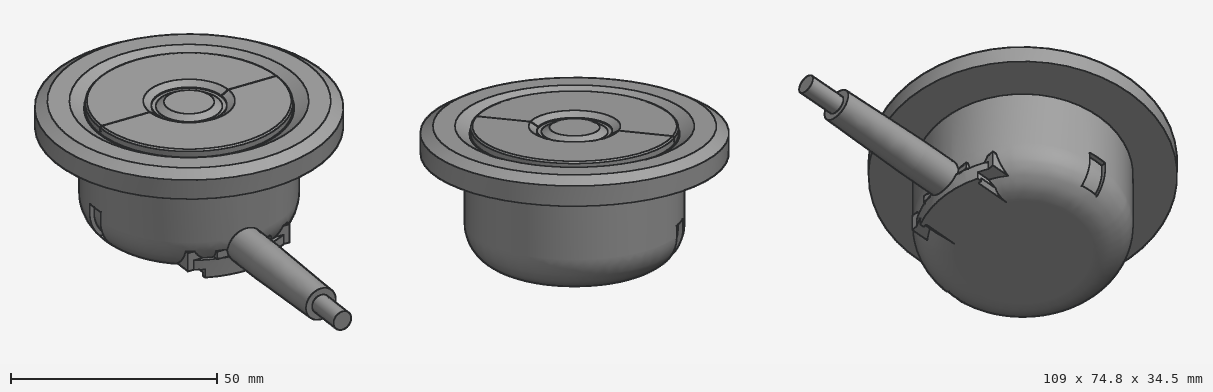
import cadquery as cq
import math

total_length = 109.0
total_height = 34.5

flange_radius = 37.4
flange_thickness = 7.0
flange_bevel_width = 3.0
flange_bevel_height = 1.7
flange_bottom = total_height - flange_thickness

body_radius = 26.7
body_corner_radius = 9.8
body_floor_radius = body_radius - body_corner_radius

bevel_slope = math.tan(math.radians(30))
recess_top_radius = 29.0
recess_floor_radius = 25.5
recess_depth = (recess_top_radius - recess_floor_radius) * bevel_slope
disc_radius = 25.2
disc_edge_chamfer = 0.4
disc_split_width = 0.2

dish_top_radius = 11.1
dish_bottom_radius = 9.2
dish_depth = (dish_top_radius - dish_bottom_radius) * bevel_slope
groove_depth = 1.4
button_base_radius = 8.1
button_top_radius = 6.1
button_height = (button_base_radius - button_top_radius) * bevel_slope

slot_width = 5.0
slot_bottom = 2.9
slot_top = 12.5
slot_depth = 1.2

housing_inner_x = 10.9
shoulder_end_x = 23.2
shoulder_half_width = 14.4
shoulder_top = 7.3
shoulder_bottom = 2.3
foot_half_width = 10.2
foot_chamfer = 1.0
lug_radius = 26.5
lug_height = 4.9
saddle_end_x = 25.7
saddle_half_width = 7.6

cable_axis_z = 7.0
sleeve_radius = 4.8
sleeve_tip_radius = 4.3
sleeve_taper_start = 36.6
sleeve_end = 61.6
cable_radius = 2.5
cable_end = total_length - flange_radius


def box_between(x_range, y_range, z_range):
    """Axis-aligned box given by its limits along X, Y and Z."""
    (x0, x1), (y0, y1), (z0, z1) = x_range, y_range, z_range
    return cq.Workplane("XY").box(x1 - x0, y1 - y0, z1 - z0, centered=False).translate((x0, y0, z0))


def cup(inset):
    """Cup with a rounded bottom corner, shrunk evenly by the inset."""
    corner_radius = body_corner_radius - inset
    diagonal = corner_radius * math.sqrt(0.5)
    return (
        cq.Workplane("XZ")
        .moveTo(0, inset)
        .lineTo(body_floor_radius, inset)
        .threePointArc(
            (body_floor_radius + diagonal, body_corner_radius - diagonal),
            (body_radius - inset, body_corner_radius),
        )
        .lineTo(body_radius - inset, flange_bottom)
        .lineTo(0, flange_bottom)
        .close()
        .revolve(360, (0, 0), (0, 1))
    )


def flange():
    """Flange with its bevelled rim, recess, disc, dish and button."""
    profile = [
        (0, flange_bottom),
        (flange_radius, flange_bottom),
        (flange_radius, total_height - flange_bevel_height),
        (flange_radius - flange_bevel_width, total_height),
        (recess_top_radius, total_height),
        (recess_floor_radius, total_height - recess_depth),
        (disc_radius, total_height - recess_depth),
        (disc_radius, total_height - disc_edge_chamfer),
        (disc_radius - disc_edge_chamfer, total_height),
        (dish_top_radius, total_height),
        (dish_bottom_radius, total_height - dish_depth),
        (dish_bottom_radius, total_height - groove_depth),
        (button_base_radius, total_height - groove_depth),
        (button_top_radius, total_height - groove_depth + button_height),
        (0, total_height - groove_depth + button_height),
    ]
    return cq.Workplane("XZ").polyline(profile).close().revolve(360, (0, 0), (0, 1))


def disc_split():
    """Narrow split across the disc that leaves the central button whole."""
    split = box_between(
        (-disc_split_width / 2, disc_split_width / 2),
        (-disc_radius, disc_radius),
        (total_height - groove_depth, total_height),
    )
    centre = cq.Workplane("XY").circle(dish_bottom_radius).extrude(total_height)
    return split.cut(centre)


def side_slots():
    """Slots on the -Y and +Y sides, with backs that follow the body surface."""
    slots = box_between(
        (-slot_width / 2, slot_width / 2),
        (-flange_radius, flange_radius),
        (slot_bottom, slot_top),
    )
    return slots.cut(cup(slot_depth))


def cable_housing():
    """Shoulder block on a chamfered foot, curved lug, and saddle for the cable sleeve."""
    shoulder = box_between(
        (housing_inner_x, shoulder_end_x),
        (-shoulder_half_width, shoulder_half_width),
        (shoulder_bottom, shoulder_top),
    )
    foot = box_between(
        (housing_inner_x, shoulder_end_x),
        (-foot_half_width, foot_half_width),
        (0, shoulder_bottom),
    )
    foot = foot.edges("|X and <Z").chamfer(foot_chamfer)
    lug_base_limits = box_between(
        (shoulder_end_x, lug_radius),
        (-foot_half_width, foot_half_width),
        (0, shoulder_bottom),
    )
    lug_limits = box_between(
        (housing_inner_x, lug_radius),
        (-shoulder_half_width, shoulder_half_width),
        (shoulder_bottom, lug_height),
    )
    lug = cq.Workplane("XY").circle(lug_radius).extrude(lug_height).intersect(lug_limits.union(lug_base_limits))
    saddle = box_between(
        (housing_inner_x, saddle_end_x),
        (-saddle_half_width, saddle_half_width),
        (lug_height, cable_axis_z),
    )
    return shoulder.union(foot).union(lug).union(saddle)


def cable():
    """Cable with its straight, then tapered sleeve, along +X."""
    profile = [
        (0, 0),
        (0, sleeve_radius),
        (sleeve_taper_start - housing_inner_x, sleeve_radius),
        (sleeve_end - housing_inner_x, sleeve_tip_radius),
        (sleeve_end - housing_inner_x, cable_radius),
        (cable_end - housing_inner_x, cable_radius),
        (cable_end - housing_inner_x, 0),
    ]
    return (
        cq.Workplane("XZ", origin=(housing_inner_x, 0, cable_axis_z))
        .polyline(profile)
        .close()
        .revolve(360, (0, 0), (1, 0))
    )


body = cup(0).union(flange()).cut(disc_split()).cut(side_slots())
result = body.union(cable_housing()).union(cable())